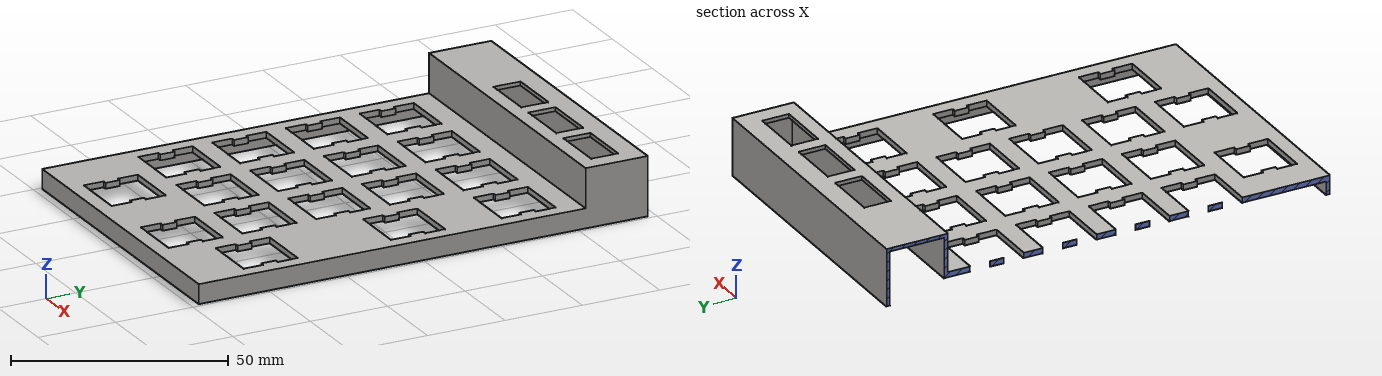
import cadquery as cq

width = 78.5
length = 116.09
height = 14.99
wall = 1.0

base_height = 5.0
plate_thickness = 1.5
housing_depth = 16.1
roof_thickness = 1.0
housing_front_y = length / 2 - housing_depth

key_pitch = 19.05
key_size = 14.0
tab_depth = 1.0
tab_length = 3.7
first_key_x = -1.5 * key_pitch
first_key_y = 29.1

grid_keys = [(column, row) for column in range(3) for row in range(4)]
single_keys = [(0.5, 4), (2, 4)]
right_column_keys = [(3, row) for row in (0, 1.5, 3.5)]

window_count = 3
window_length = 14.0
window_depth = 7.0
window_pitch = 17.5
first_window_x = -7.25
window_y = 49.2


def box_between(x_range, y_range, z_range):
    """Box spanning the given (low, high) ranges."""
    sizes = [high - low for low, high in (x_range, y_range, z_range)]
    corner = (x_range[0], y_range[0], z_range[0])
    return cq.Workplane("XY").box(*sizes, centered=False).translate(corner)


def outer_body():
    x_range = (-width / 2, width / 2)
    base = box_between(x_range, (-length / 2, length / 2), (0, base_height))
    housing = box_between(x_range, (housing_front_y, length / 2), (0, height))
    return base.union(housing)


def inner_cavity():
    """Hollow open at the underside, running up into the housing."""
    x_range = (-width / 2 + wall, width / 2 - wall)
    back_y = length / 2 - wall
    under_plate = box_between(x_range, (-length / 2 + wall, back_y), (0, base_height - plate_thickness))
    in_housing = box_between(x_range, (housing_front_y + wall, back_y), (0, height - roof_thickness))
    return under_plate.union(in_housing)


def key_opening(column, row):
    """Square opening narrowed by a tab in the middle of its left and right sides."""
    x = first_key_x + column * key_pitch
    y = first_key_y - row * key_pitch
    square = cq.Workplane("XY").rect(key_size, key_size).extrude(base_height)
    tabs = (
        cq.Workplane("XY")
        .pushPoints([(-key_size / 2, 0), (key_size / 2, 0)])
        .rect(2 * tab_depth, tab_length)
        .extrude(base_height)
    )
    return square.cut(tabs).translate((x, y, 0))


def display_windows():
    centres = [(first_window_x + i * window_pitch, window_y) for i in range(window_count)]
    return cq.Workplane("XY").pushPoints(centres).rect(window_length, window_depth).extrude(height)


result = outer_body().cut(inner_cavity()).cut(display_windows())
for column, row in grid_keys + single_keys + right_column_keys:
    result = result.cut(key_opening(column, row))